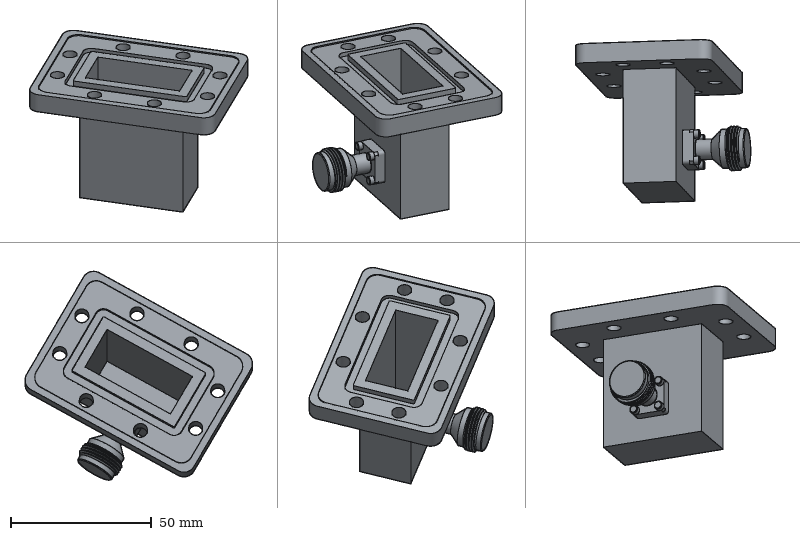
import cadquery as cq


total_height = 48.0
connector_tip_y = 31.9

bore_x = 34.8
bore_y = 15.8
wall = 1.65
tube_x = bore_x + 2 * wall
tube_y = bore_y + 2 * wall
end_cap_thickness = 1.5

flange_x = 68.3
flange_y = 49.2
flange_thickness = 7.0
flange_corner_radius = 4.1

rim_width = 2.5
recess_x = flange_x - 2 * rim_width
recess_y = flange_y - 2 * rim_width
recess_depth = 0.5
recess_corner_radius = 4.1
groove_x = 47.75
groove_y = 28.75
groove_depth = 2.05
groove_corner_radius = 3.1
frame_x = 41.95
frame_y = 22.75
frame_corner_radius = 0.5

bolt_diameter = 5.0
long_side_bolt = (11.05, 18.25)
short_side_bolt = (27.7, 7.9)

connector_z = 14.9
mount_size = 12.5
pad_thickness = 2.5
pad_corner_radius = 1.2
plate_thickness = 1.5
plate_corner_chamfer = 0.95
screw_head_diameter = 3.0
screw_head_height = 2.0
screw_head_chamfer = 0.3
screw_offset = (mount_size - screw_head_diameter) / 2

neck_diameter = 7.4
collar_diameter = 7.1
collar_length = 0.2
barrel_diameter = 14.0
cone_start_y = 19.4
cone_end_y = 22.95
tip_chamfer = 0.35

thread_diameter = 15.85
thread_pitch = 1.06
thread_start_y = 24.9
thread_end_y = 29.85
thread_root_width = 0.95
thread_crest_width = 0.2
thread_overlap = 0.15

flange_bottom = total_height - flange_thickness
pad_start_y = tube_y / 2
plate_start_y = pad_start_y + pad_thickness
plate_end_y = plate_start_y + plate_thickness


def block(size_x, size_y, bottom, top):
    """Box centred on the waveguide axis between two heights."""
    return cq.Workplane("XY", origin=(0, 0, bottom)).rect(size_x, size_y).extrude(top - bottom)


def rounded_block(size_x, size_y, bottom, top, radius):
    return block(size_x, size_y, bottom, top).edges("|Z").fillet(radius)


def connector_plane(y):
    """Plane across the connector axis: local x is -X, local y is Z, normal is +Y."""
    return cq.Workplane(cq.Plane((0, y, connector_z), (-1, 0, 0), (0, 1, 0)))


def make_flange():
    recess_bottom = total_height - recess_depth
    groove_bottom = total_height - groove_depth
    flange = rounded_block(flange_x, flange_y, flange_bottom, total_height, flange_corner_radius)
    recess = rounded_block(recess_x, recess_y, recess_bottom, total_height, recess_corner_radius)
    groove = rounded_block(groove_x, groove_y, groove_bottom, total_height, groove_corner_radius)
    frame = rounded_block(frame_x, frame_y, groove_bottom, total_height, frame_corner_radius)
    bolt_points = [
        (side_x * x, side_y * y)
        for x, y in (long_side_bolt, short_side_bolt)
        for side_x in (-1, 1)
        for side_y in (-1, 1)
    ]
    bolts = (
        cq.Workplane("XY", origin=(0, 0, flange_bottom))
        .pushPoints(bolt_points)
        .circle(bolt_diameter / 2)
        .extrude(flange_thickness)
    )
    return flange.cut(recess).cut(groove).union(frame).cut(bolts)


def make_mount():
    pad = (
        connector_plane(pad_start_y)
        .rect(mount_size, mount_size)
        .extrude(pad_thickness)
        .edges("|Y")
        .fillet(pad_corner_radius)
    )
    plate = (
        connector_plane(plate_start_y)
        .rect(mount_size, mount_size)
        .extrude(plate_thickness)
        .edges("|Y")
        .chamfer(plate_corner_chamfer)
    )
    screw_heads = (
        connector_plane(plate_end_y)
        .rect(2 * screw_offset, 2 * screw_offset, forConstruction=True)
        .vertices()
        .circle(screw_head_diameter / 2)
        .extrude(screw_head_height)
        .faces(">Y")
        .chamfer(screw_head_chamfer)
    )
    return pad.union(plate).union(screw_heads)


def revolve_about_connector(profile):
    """Revolve (radius, y) points about the connector axis."""
    return (
        cq.Workplane("XY", origin=(0, 0, connector_z))
        .polyline(profile)
        .close()
        .revolve(360, (0, 0, 0), (0, 1, 0))
    )


def make_barrel():
    barrel_radius = barrel_diameter / 2
    collar_end_y = plate_end_y + collar_length
    return revolve_about_connector([
        (0, plate_end_y),
        (collar_diameter / 2, plate_end_y),
        (collar_diameter / 2, collar_end_y),
        (neck_diameter / 2, collar_end_y),
        (neck_diameter / 2, cone_start_y),
        (barrel_radius, cone_end_y),
        (barrel_radius, connector_tip_y - tip_chamfer),
        (barrel_radius - tip_chamfer, connector_tip_y),
        (0, connector_tip_y),
    ])


def make_thread():
    """Helical ridge with a trapezoidal section, its ends bevelled down to the barrel."""
    barrel_radius = barrel_diameter / 2
    root_radius = barrel_radius - thread_overlap
    crest_radius = thread_diameter / 2
    length = thread_end_y - thread_start_y
    helix = cq.Wire.makeHelix(thread_pitch, length, root_radius)
    ridge = (
        cq.Workplane("XZ")
        .moveTo(root_radius, -thread_root_width / 2)
        .lineTo(crest_radius, -thread_crest_width / 2)
        .lineTo(crest_radius, thread_crest_width / 2)
        .lineTo(root_radius, thread_root_width / 2)
        .close()
        .sweep(cq.Workplane(obj=helix), isFrenet=True)
        .rotate((0, 0, 0), (0, 0, 1), 180)
        .rotate((0, 0, 0), (1, 0, 0), -90)
        .translate((0, thread_start_y, connector_z))
    )
    bevels = revolve_about_connector([
        (0, thread_start_y),
        (barrel_radius, thread_start_y),
        (barrel_radius + length / 2, thread_start_y + length / 2),
        (barrel_radius, thread_end_y),
        (0, thread_end_y),
    ])
    return ridge.intersect(bevels)


tube = block(tube_x, tube_y, 0, flange_bottom)
bore = block(bore_x, bore_y, end_cap_thickness, total_height)
waveguide = tube.union(make_flange()).cut(bore)
connector = make_mount().union(make_barrel()).union(make_thread())
result = waveguide.union(connector)